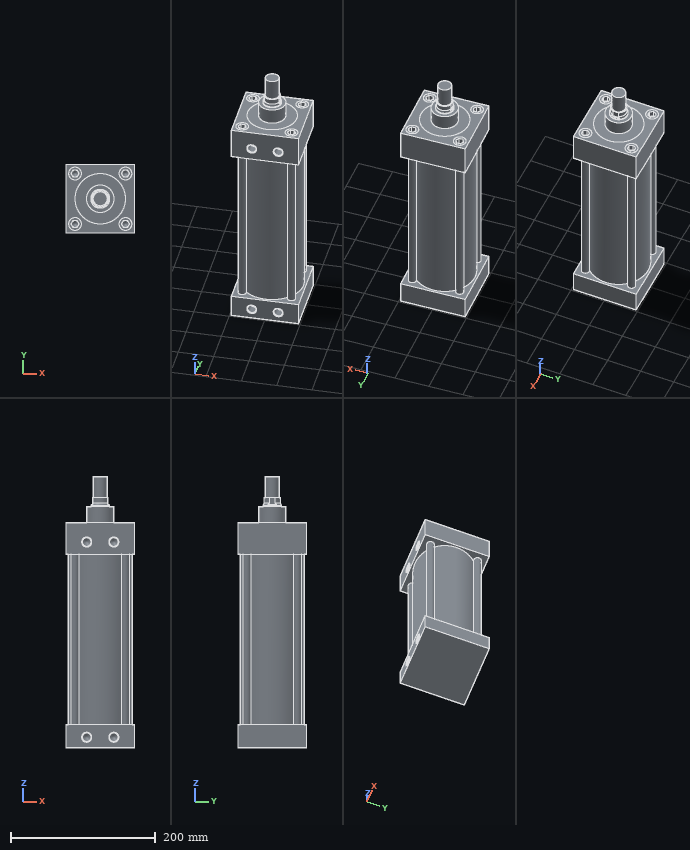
import cadquery as cq
import math

total_length = 374.5
cap_width = 95.0
rear_cap_height = 32.2
barrel_length = 235.0
front_cap_height = 44.2
boss_height = 22.0
barrel_bottom = rear_cap_height
barrel_top = barrel_bottom + barrel_length
front_cap_top = barrel_top + front_cap_height
boss_top = front_cap_top + boss_height

barrel_diameter = 88.8
tie_rod_diameter = 11.2
tie_rod_offset = 35.0
head_diameter = 17.5
head_height = 13.5
socket_corner_diameter = 11.2
socket_depth = 9.0
socket_tip_height = 3.0

gland_diameter = 69.5
gland_depth = 11.2
boss_diameter = 38.0
gland_bottom = front_cap_top - gland_depth

rod_diameter = 26.2
rod_shoulder_height = 1.0
rod_taper_height = 3.5
collar_diameter = 23.0
collar_top = 345.8
flat_width = 21.5
flat_length = 9.5
tip_diameter = 19.5
shoulder_top = boss_top + rod_shoulder_height
taper_top = shoulder_top + rod_taper_height

port_diameter = 12.0
port_chamfer = 0.95
port_depth = 15.0
port_tip_height = 3.5
port_offset = 18.7
front_port_height = 17.2
front_port_z = barrel_top + front_port_height
rear_port_z = 14.5

tie_rod_points = [
    (x, y)
    for x in (-tie_rod_offset, tie_rod_offset)
    for y in (-tie_rod_offset, tie_rod_offset)
]


def cylinder(diameter, bottom, top, x=0, y=0):
    """Upright cylinder between two heights."""
    return cq.Workplane("XY", origin=(x, y, bottom)).circle(diameter / 2).extrude(top - bottom)


def cap(bottom, top):
    """Square end block between two heights."""
    return cq.Workplane("XY", origin=(0, 0, bottom)).rect(cap_width, cap_width).extrude(top - bottom)


def port(x, z):
    """Blind drilled hole into a cap's -Y face, with a chamfered mouth and a conical bottom."""
    radius = port_diameter / 2
    profile = [
        (0, 0),
        (radius + port_chamfer, 0),
        (radius, port_chamfer),
        (radius, port_depth),
        (0, port_depth + port_tip_height),
    ]
    outline = cq.Workplane("XY", origin=(x, -cap_width / 2, z)).polyline(profile).close()
    return outline.revolve(360, (0, 0), (0, 1))


def cut_ports(block, z):
    """Cut the pair of ports at height z."""
    for x in (-port_offset, port_offset):
        block = block.cut(port(x, z))
    return block


def tie_rod(x, y):
    """Tie rod with its head, from the rear cap to the top of the front cap."""
    shank = cylinder(tie_rod_diameter, barrel_bottom, front_cap_top, x, y)
    head = cylinder(head_diameter, front_cap_top - head_height, front_cap_top, x, y)
    return shank.union(head)


def socket(x, y):
    """Hexagon socket of a tie rod head, ending in a drill cone."""
    bottom = front_cap_top - socket_depth
    hexagon = cq.Workplane("XY", origin=(x, y, bottom)).polygon(6, socket_corner_diameter).extrude(socket_depth)
    inner_radius = socket_corner_diameter / 2 * math.cos(math.pi / 6)
    cone = cq.Solid.makeCone(
        inner_radius, 0, socket_tip_height, pnt=cq.Vector(x, y, bottom), dir=cq.Vector(0, 0, -1)
    )
    return hexagon.union(cq.Workplane(cone))


def make_housing():
    """Rear cap, barrel and tie rods in one piece."""
    body = cut_ports(cap(0, barrel_bottom), rear_port_z)
    body = body.union(cylinder(barrel_diameter, barrel_bottom, barrel_top))
    for x, y in tie_rod_points:
        body = body.union(tie_rod(x, y)).cut(socket(x, y))
    return body


def make_front_cap():
    """Front cap, recessed for the gland and bored for the piston rod and the tie rods."""
    block = cut_ports(cap(barrel_top, front_cap_top), front_port_z)
    block = block.cut(cylinder(gland_diameter, gland_bottom, front_cap_top))
    block = block.cut(cylinder(rod_diameter, barrel_top, gland_bottom))
    for x, y in tie_rod_points:
        block = block.cut(tie_rod(x, y))
    return block


def make_gland():
    """Disc and boss, bored for the piston rod."""
    disc = cylinder(gland_diameter, gland_bottom, front_cap_top)
    boss = cylinder(boss_diameter, front_cap_top, boss_top)
    return disc.union(boss).cut(cylinder(rod_diameter, gland_bottom, boss_top))


def make_piston_rod():
    """Stepped rod standing on the barrel, with two wrench flats on the +X and -X sides of its collar."""
    profile = [
        (0, barrel_top),
        (rod_diameter / 2, barrel_top),
        (rod_diameter / 2, shoulder_top),
        (collar_diameter / 2, taper_top),
        (collar_diameter / 2, collar_top),
        (tip_diameter / 2, collar_top),
        (tip_diameter / 2, total_length),
        (0, total_length),
    ]
    rod = cq.Workplane("XZ").polyline(profile).close().revolve(360, (0, 0), (0, 1))
    flat_band = cylinder(rod_diameter, collar_top - flat_length, collar_top)
    kept_core = (
        cq.Workplane("XY", origin=(0, 0, collar_top - flat_length))
        .rect(flat_width, rod_diameter)
        .extrude(flat_length)
    )
    return rod.cut(flat_band.cut(kept_core))


housing = make_housing()
front_cap = make_front_cap()
gland = make_gland()
piston_rod = make_piston_rod()

bodies = [housing, front_cap, gland, piston_rod]
result = cq.Compound.makeCompound([body.solids().val() for body in bodies])